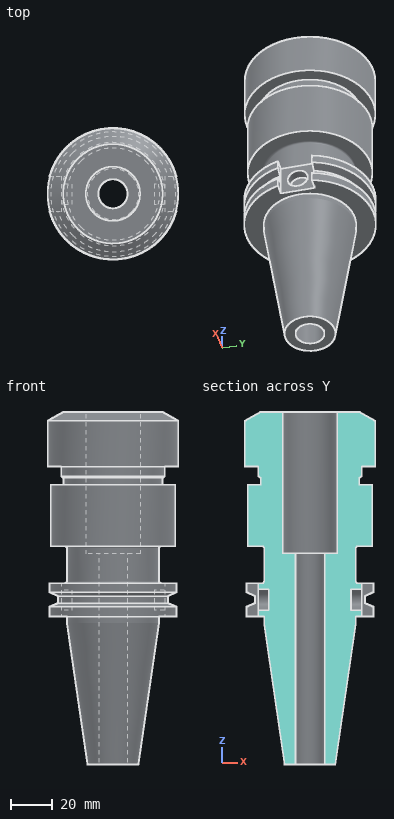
import cadquery as cq

total_height = 169.8
taper_top = 68.3
flange_bottom = 71.3
lower_rim_top = 76.1
groove_bottom = 77.8
groove_top = 81.2
upper_rim_bottom = 83.0
flange_top = 87.5
body_bottom = 105.1
body_top = 134.9
collar_step_bottom = 138.1
collar_step_top = 138.8
nut_bottom = 143.5
nut_chamfer_height = 4.2

taper_ratio = 7 / 24
shank_radius = 22.3
taper_end_radius = shank_radius - taper_top * taper_ratio / 2
flange_radius = 63.5 / 2
groove_radius = 27.9
body_radius = 30.0
relief_radius = 24.0
collar_radius = 25.0
nut_radius = 63.0 / 2
nut_face_radius = 24.0

neck_fillet = 0.8

tool_bore_radius = 13.0
tool_bore_depth = 68.0
through_bore_radius = 7.0

slot_width = 16.8
slot_floor = 25.0
slot_hole_diameter = 9.9
slot_hole_depth = 5.1
slot_hole_height = (flange_bottom + flange_top) / 2


def turned_holder():
    """Revolve the outer profile: taper, flange, neck, body, collar and nut."""
    profile = (
        cq.Workplane("XZ")
        .lineTo(taper_end_radius, 0)
        .lineTo(shank_radius, taper_top)
        .lineTo(shank_radius, flange_bottom)
        .lineTo(flange_radius, flange_bottom)
        .lineTo(flange_radius, lower_rim_top)
        .lineTo(groove_radius, groove_bottom)
        .lineTo(groove_radius, groove_top)
        .lineTo(flange_radius, upper_rim_bottom)
        .lineTo(flange_radius, flange_top)
        .lineTo(shank_radius + neck_fillet, flange_top)
        .radiusArc((shank_radius, flange_top + neck_fillet), neck_fillet)
        .lineTo(shank_radius, body_bottom - neck_fillet)
        .radiusArc((shank_radius + neck_fillet, body_bottom), neck_fillet)
        .lineTo(body_radius, body_bottom)
        .lineTo(body_radius, body_top)
        .lineTo(relief_radius, body_top)
        .lineTo(relief_radius, collar_step_bottom)
        .lineTo(collar_radius, collar_step_top)
        .lineTo(collar_radius, nut_bottom)
        .lineTo(nut_radius, nut_bottom)
        .lineTo(nut_radius, total_height - nut_chamfer_height)
        .lineTo(nut_face_radius, total_height)
        .lineTo(0, total_height)
        .close()
    )
    return profile.revolve(360, (0, 0, 0), (0, 1, 0))


def stepped_bore():
    """Tool bore from the nut face, continued by a narrower through bore."""
    tool_bore = (
        cq.Workplane("XY")
        .workplane(offset=total_height - tool_bore_depth)
        .circle(tool_bore_radius)
        .extrude(tool_bore_depth)
    )
    through_bore = cq.Workplane("XY").circle(through_bore_radius).extrude(total_height)
    return tool_bore.union(through_bore)


def drive_slot(side):
    """Flat-floored slot with a blind round hole; side is -1 or +1 along X."""
    slot_floor_plane = cq.Plane(
        origin=(side * slot_floor, 0, slot_hole_height), xDir=(0, 1, 0), normal=(side, 0, 0)
    )
    slot = (
        cq.Workplane(slot_floor_plane)
        .rect(slot_width, flange_top - flange_bottom)
        .extrude(flange_radius - slot_floor)
    )
    hole = cq.Workplane(slot_floor_plane).circle(slot_hole_diameter / 2).extrude(-slot_hole_depth)
    return slot.union(hole)


result = turned_holder().cut(stepped_bore())
for slot_side in (-1, 1):
    result = result.cut(drive_slot(slot_side))